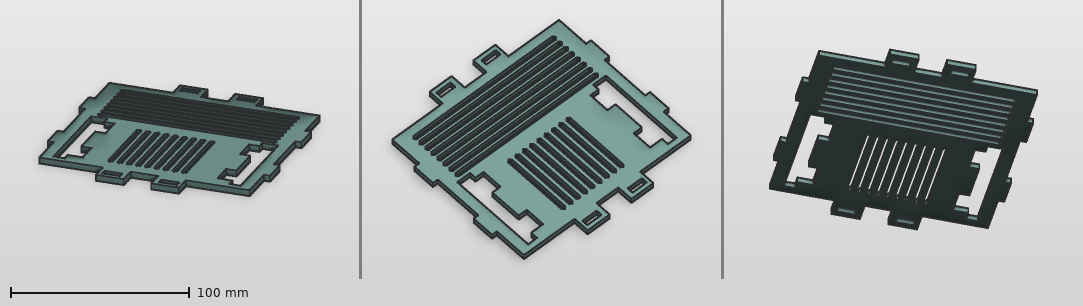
import cadquery as cq

overall_x = 133.2
overall_y = 131.9
thickness = 3.7
body_x = 126.0
body_y = 110.0

side_tab_width = 15.5
side_tab_offset = 24.6

lug_width = 16.6
lug_offset = 16.5
lug_window_x = 10.7
lug_window_y = 4.0
lug_window_offset_x = 17.0
lug_window_offset_y = 61.0

wide_vent_count = 8
wide_vent_length = 107.1
wide_vent_width = 2.9
wide_vent_end_depth = 1.0
wide_vent_rear_y = 47.4
wide_vent_front_y = 12.3

narrow_vent_count = 9
narrow_vent_length = 47.0
narrow_vent_width = 2.8
narrow_vent_tip_depth = 1.0
narrow_vent_span = 44.0
narrow_vent_center_x = -2.1
narrow_vent_center_y = -22.6

opening_outer_x = 56.1
opening_foot_x = 49.4
opening_waist_x = 46.5
opening_notch_x = 40.4
opening_top_y = 8.3
upper_notch_top_y = 3.7
upper_notch_bottom_y = -10.4
lower_notch_top_y = -32.4
lower_notch_bottom_y = -46.0
opening_bottom_y = -50.9


def block(size_x, size_y, centers):
    """Full-thickness rectangular blocks standing on Z = 0."""
    return cq.Workplane("XY").pushPoints(centers).rect(size_x, size_y).extrude(thickness)


def mirrored_centers(x, y):
    """The four points symmetric about both plate axes."""
    return [(sx * x, sy * y) for sx in (-1, 1) for sy in (-1, 1)]


def plate_blank():
    """Body with strips across it whose ends form the side tabs and lugs."""
    body = block(body_x, body_y, [(0, 0)])
    side_tabs = block(overall_x, side_tab_width, [(0, -side_tab_offset), (0, side_tab_offset)])
    lugs = block(lug_width, overall_y, [(-lug_offset, 0), (lug_offset, 0)])
    return body.union(side_tabs).union(lugs)


def lug_windows():
    centers = mirrored_centers(lug_window_offset_x, lug_window_offset_y)
    return block(lug_window_x, lug_window_y, centers)


def slot_copies(slot, centers):
    """One solid slot, modelled about the origin, repeated at the given centers."""
    return cq.Workplane("XY").pushPoints(centers).eachpoint(slot.val())


def wide_vents():
    end_x = wide_vent_length / 2
    shoulder_x = end_x - wide_vent_end_depth
    half_width = wide_vent_width / 2
    slot = (
        cq.Workplane("XY")
        .moveTo(-shoulder_x, -half_width)
        .lineTo(shoulder_x, -half_width)
        .threePointArc((end_x, 0), (shoulder_x, half_width))
        .lineTo(-shoulder_x, half_width)
        .threePointArc((-end_x, 0), (-shoulder_x, -half_width))
        .close()
        .extrude(thickness)
    )
    pitch = (wide_vent_rear_y - wide_vent_front_y) / (wide_vent_count - 1)
    centers = [(0, wide_vent_front_y + i * pitch) for i in range(wide_vent_count)]
    return slot_copies(slot, centers)


def narrow_vents():
    tip_y = narrow_vent_length / 2
    shoulder_y = tip_y - narrow_vent_tip_depth
    half_width = narrow_vent_width / 2
    outline = [
        (-half_width, -shoulder_y),
        (0, -tip_y),
        (half_width, -shoulder_y),
        (half_width, shoulder_y),
        (0, tip_y),
        (-half_width, shoulder_y),
    ]
    slot = cq.Workplane("XY").polyline(outline).close().extrude(thickness)
    pitch = narrow_vent_span / (narrow_vent_count - 1)
    first_x = narrow_vent_center_x - narrow_vent_span / 2
    centers = [(first_x + i * pitch, narrow_vent_center_y) for i in range(narrow_vent_count)]
    return slot_copies(slot, centers)


def side_opening(side):
    """Stepped opening on the side given by the sign of X."""
    outline = [
        (opening_outer_x, opening_top_y),
        (opening_waist_x, opening_top_y),
        (opening_waist_x, upper_notch_top_y),
        (opening_notch_x, upper_notch_top_y),
        (opening_notch_x, upper_notch_bottom_y),
        (opening_waist_x, upper_notch_bottom_y),
        (opening_waist_x, lower_notch_top_y),
        (opening_notch_x, lower_notch_top_y),
        (opening_notch_x, lower_notch_bottom_y),
        (opening_foot_x, lower_notch_bottom_y),
        (opening_foot_x, opening_bottom_y),
        (opening_outer_x, opening_bottom_y),
    ]
    points = [(side * x, y) for x, y in outline]
    return cq.Workplane("XY").polyline(points).close().extrude(thickness)


result = plate_blank().cut(lug_windows()).cut(wide_vents()).cut(narrow_vents())
for side in (-1, 1):
    result = result.cut(side_opening(side))